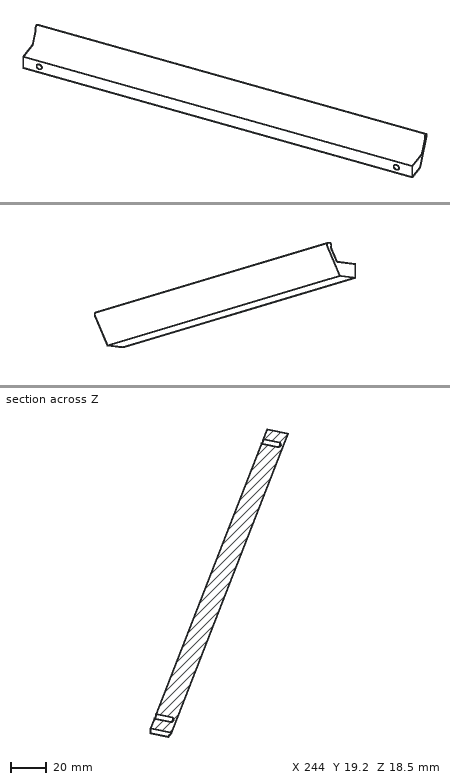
import cadquery as cq
import math

length = 244.0
depth = 19.2
height = 18.5

base_height = 8.0
lip_angle = math.radians(27.6)
lip_thickness = 2.0
bead_diameter = 3.0
corner_radius = 0.5
neck_radius = 0.5

hole_diameter = 3.3
hole_depth = 10.0
drill_tip_angle = math.radians(118.0)
hole_spacing = 224.0
hole_height = base_height / 2

bead_radius = bead_diameter / 2
bead_y = depth - bead_radius
bead_z = height - bead_radius


def lip_point(outward, down):
    """(y, z) of a point measured from the bead centre, across the lip to the rear and down along it."""
    y = bead_y + outward * math.cos(lip_angle) - down * math.sin(lip_angle)
    z = bead_z - outward * math.sin(lip_angle) - down * math.cos(lip_angle)
    return (y, z)


def lip_face_y(outward, z):
    """Y at height z on the lip face lying the given distance outward of the bead centre."""
    return bead_y + outward / math.cos(lip_angle) - (bead_z - z) * math.tan(lip_angle)


def round_edge(body, profile_point, radius):
    """Fillet the lengthwise edge that runs through a profile point (y, z)."""
    nearest = cq.selectors.NearestToPointSelector((0, *profile_point))
    return body.edges("|X").edges(nearest).fillet(radius)


def make_body():
    """Base bar, leaning lip and round bead as one profile, extruded along X."""
    rear_face = bead_radius
    front_face = bead_radius - lip_thickness
    front_cut_depth = math.sqrt(bead_radius**2 - front_face**2)
    neck = lip_point(front_face, front_cut_depth)
    inner_corner = (lip_face_y(front_face, base_height), base_height)

    bead_top = (bead_y, height)
    body = (
        cq.Workplane("YZ")
        .moveTo(0, 0)
        .lineTo(lip_face_y(rear_face, 0), 0)
        .lineTo(*lip_point(rear_face, 0))
        .threePointArc(bead_top, neck)
        .lineTo(*inner_corner)
        .lineTo(0, base_height)
        .close()
        .extrude(length / 2, both=True)
    )
    body = round_edge(body, neck, neck_radius)
    return round_edge(body, inner_corner, corner_radius)


def make_hole(x):
    """Drilled hole with a conical end, entering the front face at x."""
    radius = hole_diameter / 2
    tip_depth = radius / math.tan(drill_tip_angle / 2)
    half_section = [
        (0, 0),
        (radius, 0),
        (radius, hole_depth),
        (0, hole_depth + tip_depth),
    ]
    drill = cq.Workplane("XY").polyline(half_section).close().revolve(360, (0, 0), (0, 1))
    return drill.translate((x, 0, hole_height))


result = make_body()
for side in (-1, 1):
    result = result.cut(make_hole(side * hole_spacing / 2))